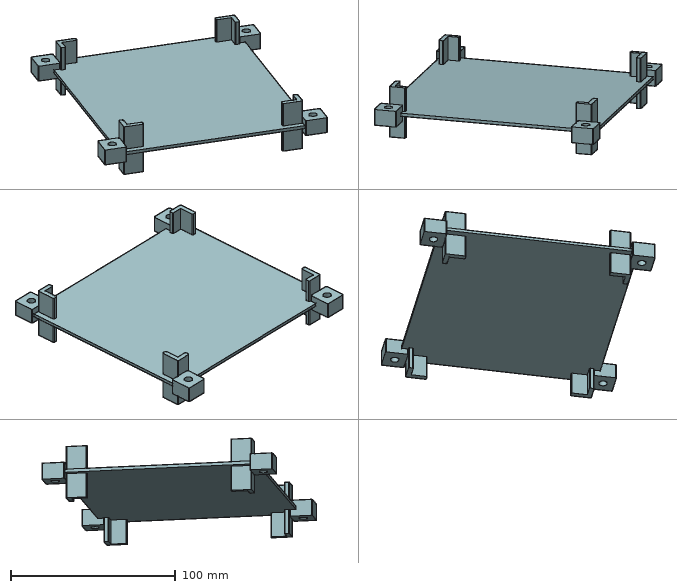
import cadquery as cq

overall_x = 139.5
overall_y = 143.0
overall_z = 32.0

plate_x = 136.1
plate_y = 123.0
plate_thickness = 2.0

block_side = 14.0
block_height = 10.0
screw_hole_diameter = 5.0
edge_chamfer = 0.5

post_inset = 5.5
post_length_x = 10.0
post_length_y = 12.9
post_wall = 3.0

block_center_x = (overall_x - block_side) / 2
block_center_y = (overall_y - block_side) / 2
post_corner_x = overall_x / 2 - post_inset
post_corner_y = overall_y / 2 - block_side


def make_plate():
    return cq.Workplane("XY").box(plate_x, plate_y, plate_thickness)


def make_block():
    """Square block with chamfered vertical edges."""
    return (
        cq.Workplane("XY")
        .box(block_side, block_side, block_height)
        .edges("|Z")
        .chamfer(edge_chamfer)
        .translate((block_center_x, block_center_y, 0))
    )


def make_post():
    """L-shaped post with its walls growing inward from the post corner; chamfered except in the inner corner."""
    return (
        cq.Workplane("XY", origin=(post_corner_x, post_corner_y, -overall_z / 2))
        .polyline(
            [
                (0, 0),
                (-post_length_x, 0),
                (-post_length_x, -post_wall),
                (-post_wall, -post_wall),
                (-post_wall, -post_length_y),
                (0, -post_length_y),
            ]
        )
        .close()
        .extrude(overall_z)
        .edges("(<X or <Y or (>X and >Y)) and |Z")
        .chamfer(edge_chamfer)
    )


def make_bracket(plate):
    """Bracket of the +X +Y corner: block and L-shaped post, slotted to receive the plate."""
    screw_hole = (
        cq.Workplane("XY")
        .center(block_center_x, block_center_y)
        .circle(screw_hole_diameter / 2)
        .extrude(block_height, both=True)
    )
    return make_block().union(make_post()).cut(screw_hole).cut(plate)


plate = make_plate()

right_bracket = make_bracket(plate)
left_bracket = right_bracket.mirror("YZ")
brackets = []
for back_bracket in (right_bracket, left_bracket):
    front_bracket = back_bracket.mirror("XZ")
    brackets.append(back_bracket.solids().val())
    brackets.append(front_bracket.solids().val())

result = cq.Compound.makeCompound([plate.val(), *brackets])